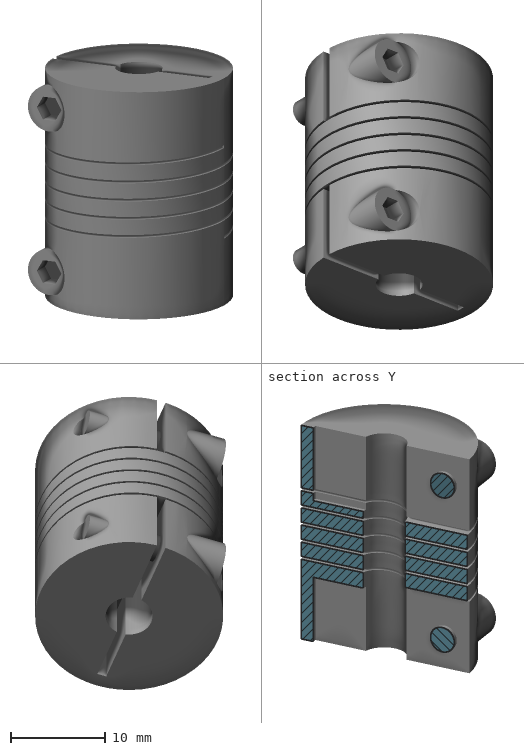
import cadquery as cq
import math

LENGTH = 25.0
OUTER_RADIUS = 10.0
BORE_RADIUS = 2.5

SLIT_PITCH = 2.0
SLIT_TURNS = 5
SLIT_WIDTH = 0.3
SLIT_HEIGHT = SLIT_PITCH * SLIT_TURNS
CUT_MARGIN = 0.5

SLOT_WIDTH = 1.0
SLOT_END_X = 8.5
SLOT_INNER_Z = SLIT_HEIGHT / 2 - SLIT_PITCH / 2
LOWER_SLOT_INNER_Z_PLUS_X = SLIT_HEIGHT / 2

SCREW_X = -7.0
SCREW_Z = 9.0
SCREW_END_Y = 7.5
HEAD_RADIUS = 2.5
HEAD_LENGTH = 5.0
SEAT_Y = HEAD_LENGTH - SCREW_END_Y
SHANK_RADIUS = 1.45
HEX_FLATS = 2.5
HEX_DEPTH = 2.0

END_SIGNS = (-1, 1)


def cylinder_along_y(radius, start_y, end_y, z):
    """Cylinder on a screw axis between two Y positions."""
    return (
        cq.Workplane("XZ", origin=(SCREW_X, start_y, z))
        .circle(radius)
        .extrude(start_y - end_y)
    )


def make_screw_head(z):
    """Cylindrical head facing -Y, with a hex socket that has corners along X."""
    corner_diameter = HEX_FLATS / math.cos(math.pi / 6)
    socket = (
        cq.Workplane("XZ", origin=(SCREW_X, -SCREW_END_Y, z))
        .polygon(6, corner_diameter)
        .extrude(-HEX_DEPTH)
    )
    return cylinder_along_y(HEAD_RADIUS, -SCREW_END_Y, SEAT_Y, z).cut(socket)


def make_screw_shank(z):
    """Plain shank from the head seat to the free end on +Y."""
    return cylinder_along_y(SHANK_RADIUS, SEAT_Y, SCREW_END_Y, z)


def screw_hole(z):
    """Counterbored hole that fits a screw and opens through the outer surface."""
    counterbore = cylinder_along_y(HEAD_RADIUS, -OUTER_RADIUS, SEAT_Y, z)
    shank_hole = cylinder_along_y(SHANK_RADIUS, SEAT_Y, OUTER_RADIUS, z)
    return counterbore.union(shank_hole)


def slit_turn(start_z):
    """One turn of the slit cutter, from inside the bore to past the outer surface."""
    inner_radius = BORE_RADIUS - CUT_MARGIN
    radial_depth = OUTER_RADIUS + CUT_MARGIN - inner_radius
    path = cq.Wire.makeHelix(
        SLIT_PITCH, SLIT_PITCH, OUTER_RADIUS, center=cq.Vector(0, 0, start_z)
    )
    return (
        cq.Workplane("XZ")
        .center(inner_radius + radial_depth / 2, start_z)
        .rect(radial_depth, SLIT_WIDTH)
        .sweep(cq.Workplane(obj=path), isFrenet=True)
    )


def slot_segment(start_x, end_x, inner_z, sign):
    """Part of a clamping slot, open at the end face given by sign."""
    depth = LENGTH / 2 - inner_z
    return cq.Workplane("XY").box(end_x - start_x, SLOT_WIDTH, depth).translate(
        ((start_x + end_x) / 2, 0, sign * (inner_z + depth / 2))
    )


def make_coupling():
    """Cylinder with a bore, a helical slit, clamping slots and screw holes."""
    body = (
        cq.Workplane("XY", origin=(0, 0, -LENGTH / 2))
        .circle(OUTER_RADIUS)
        .circle(BORE_RADIUS)
        .extrude(LENGTH)
    )
    for turn in range(SLIT_TURNS):
        body = body.cut(slit_turn(turn * SLIT_PITCH - SLIT_HEIGHT / 2))
    body = body.cut(slot_segment(-OUTER_RADIUS, SLOT_END_X, SLOT_INNER_Z, 1))
    body = body.cut(slot_segment(-OUTER_RADIUS, 0, SLOT_INNER_Z, -1))
    body = body.cut(slot_segment(0, SLOT_END_X, LOWER_SLOT_INNER_Z_PLUS_X, -1))
    for sign in END_SIGNS:
        body = body.cut(screw_hole(sign * SCREW_Z))
    return body


coupling = make_coupling()
screw_heads = [make_screw_head(sign * SCREW_Z) for sign in END_SIGNS]
screw_shanks = [make_screw_shank(sign * SCREW_Z) for sign in END_SIGNS]
result = cq.Compound.makeCompound(
    [
        coupling.val(),
        *[head.val() for head in screw_heads],
        *[shank.val() for shank in screw_shanks],
    ]
)